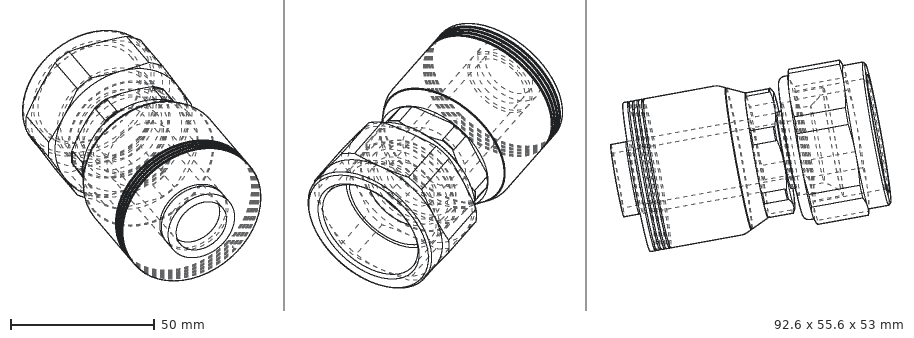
import cadquery as cq
import math


NUT_RADIUS = 25.5
NUT_ACROSS_FLATS = 2 * NUT_RADIUS
NUT_CORNER_RADIUS = 27.8
NUT_LENGTH = 31.0
NUT_FRONT_CHAMFER = 0.8
NUT_REAR_FILLET = 2.3
NUT_HEX_START = 7.9
NUT_HEX_END = 27.3
NUT_HEX_CHAMFER = 0.65
NUT_BORE_RADIUS = 19.6
NUT_BORE_DEPTH = 25.9
NUT_MOUTH_RADIUS = 20.8
NUT_MOUTH_DEPTH = 1.1

NOSE_START = 15.9
NOSE_RADIUS = 19.2
COLLAR_RADIUS = 16.4
COLLAR_END = 31.6
COLLAR_FILLET = 0.5
NECK_RADIUS = 13.6
NECK_FILLET = 0.9
HEX_START = 33.3
HEX_ACROSS_FLATS = 41.0
HEX_CORNER_RADIUS = 22.3
HEX_FRONT_RADIUS = 20.6
HEX_CREST_X = 34.3
HEX_CREST_RADIUS = 22.5
HEX_CORNER_START = 34.7
HEX_REAR_CHAMFER = 0.5
TAIL_RADIUS = 12.9
TAIL_END = 87.1

SEAT_RADIUS = 17.9
SEAT_END_RADIUS = 15.0
SEAT_LENGTH = 3.4
THROAT_TAPER_LENGTH = 2.1
THROAT_RADIUS = 13.6
THROAT_LENGTH = 3.7
FUNNEL_LENGTH = 2.5
BORE_RADIUS = 9.7

RING_END = 92.6

SHELL_START = 43.1
SHELL_END = 85.8
SHELL_RADIUS = 26.5
SHELL_FRONT_RADIUS = 22.2
SHELL_CONE_LENGTH = 9.2
SHELL_SHOULDER_FILLET = 4.6
SHELL_REAR_FILLET = 0.6
CONE_GROOVE_START = 49.3
CONE_GROOVE_WIDTH = 0.3
CONE_GROOVE_DEPTH = 0.2
GROOVE_COUNT = 4
FIRST_GROOVE_CENTER = 78.7
GROOVE_PITCH = 1.7
GROOVE_WIDTH = 0.6
GROOVE_DEPTH = 0.3


def spin(profile):
    """Turn a closed (x, radius) profile about the X axis."""
    return profile.close().revolve(360, (0, 0, 0), (1, 0, 0))


def turned(points):
    """Solid of revolution from straight (x, radius) segments."""
    return spin(cq.Workplane("XY").polyline(points))


def tube(start, end, outer, inner):
    return turned([(start, inner), (end, inner), (end, outer), (start, outer)])


def hexagon(start, end, across_flats):
    """Hexagonal bar along X with flats facing +Z and -Z."""
    corner_diameter = across_flats / math.cos(math.pi / 6)
    return cq.Workplane("YZ", origin=(start, 0, 0)).polygon(6, corner_diameter).extrude(end - start)


def nut_hexagon():
    """Hexagon with rounded corners, chamfered at both ends down to the barrel."""
    rounding = turned([
        (NUT_HEX_START, 0),
        (NUT_HEX_START, NUT_RADIUS),
        (NUT_HEX_START + NUT_HEX_CHAMFER, NUT_CORNER_RADIUS),
        (NUT_HEX_END - NUT_HEX_CHAMFER, NUT_CORNER_RADIUS),
        (NUT_HEX_END, NUT_RADIUS),
        (NUT_HEX_END, 0),
    ])
    return hexagon(NUT_HEX_START, NUT_HEX_END, NUT_ACROSS_FLATS).intersect(rounding)


def make_nut():
    barrel = turned([(0, 0), (NUT_LENGTH, 0), (NUT_LENGTH, NUT_RADIUS), (0, NUT_RADIUS)])
    barrel = barrel.faces("<X").chamfer(NUT_FRONT_CHAMFER)
    barrel = barrel.faces(">X").edges().fillet(NUT_REAR_FILLET)
    cavity = turned([
        (0, 0),
        (0, NUT_MOUTH_RADIUS),
        (NUT_MOUTH_DEPTH, NUT_BORE_RADIUS),
        (NUT_BORE_DEPTH, NUT_BORE_RADIUS),
        (NUT_BORE_DEPTH, COLLAR_RADIUS),
        (NUT_LENGTH, COLLAR_RADIUS),
        (NUT_LENGTH, 0),
    ])
    return barrel.union(nut_hexagon()).cut(cavity)


def nipple_outside():
    """Nose that bears on the nut's inner shoulder, then collar, filleted neck and tail."""
    return spin(
        cq.Workplane("XY")
        .moveTo(NOSE_START, 0)
        .lineTo(NOSE_START, NOSE_RADIUS)
        .lineTo(NUT_BORE_DEPTH, NOSE_RADIUS)
        .lineTo(NUT_BORE_DEPTH, COLLAR_RADIUS)
        .lineTo(COLLAR_END - COLLAR_FILLET, COLLAR_RADIUS)
        .radiusArc((COLLAR_END, COLLAR_RADIUS - COLLAR_FILLET), COLLAR_FILLET)
        .lineTo(COLLAR_END, NECK_RADIUS + NECK_FILLET)
        .radiusArc((COLLAR_END + NECK_FILLET, NECK_RADIUS), -NECK_FILLET)
        .lineTo(HEX_START, NECK_RADIUS)
        .lineTo(HEX_START, TAIL_RADIUS)
        .lineTo(TAIL_END, TAIL_RADIUS)
        .lineTo(TAIL_END, 0)
    )


def nipple_hexagon():
    """Hexagon in front of the shell, with a coned front and a low crest at its corners."""
    rounding = turned([
        (HEX_START, 0),
        (HEX_START, HEX_FRONT_RADIUS),
        (HEX_CREST_X, HEX_CREST_RADIUS),
        (HEX_CORNER_START, HEX_CORNER_RADIUS),
        (SHELL_START - HEX_REAR_CHAMFER, HEX_CORNER_RADIUS),
        (SHELL_START, HEX_CORNER_RADIUS - HEX_REAR_CHAMFER),
        (SHELL_START, 0),
    ])
    return hexagon(HEX_START, SHELL_START, HEX_ACROSS_FLATS).intersect(rounding)


def nipple_passage():
    """Conical seat, taper, straight throat, and a funnel into the through bore."""
    seat_end = NOSE_START + SEAT_LENGTH
    throat_start = seat_end + THROAT_TAPER_LENGTH
    throat_end = throat_start + THROAT_LENGTH
    bore_start = throat_end + FUNNEL_LENGTH
    return turned([
        (NOSE_START, 0),
        (NOSE_START, SEAT_RADIUS),
        (seat_end, SEAT_END_RADIUS),
        (throat_start, THROAT_RADIUS),
        (throat_end, THROAT_RADIUS),
        (bore_start, BORE_RADIUS),
        (TAIL_END, BORE_RADIUS),
        (TAIL_END, 0),
    ])


def make_nipple():
    return nipple_outside().union(nipple_hexagon()).cut(nipple_passage())


def make_end_ring():
    return tube(TAIL_END, RING_END, TAIL_RADIUS, BORE_RADIUS)


def shell_blank():
    """Sleeve on the tail: front cone, tangent shoulder arc, cylinder and rounded rear edge."""
    cone_end = SHELL_START + SHELL_CONE_LENGTH
    cone_angle = math.atan2(SHELL_RADIUS - SHELL_FRONT_RADIUS, SHELL_CONE_LENGTH)
    tangent_length = SHELL_SHOULDER_FILLET * math.tan(cone_angle / 2)
    shoulder_start = (
        cone_end - tangent_length * math.cos(cone_angle),
        SHELL_RADIUS - tangent_length * math.sin(cone_angle),
    )
    return spin(
        cq.Workplane("XY")
        .moveTo(SHELL_START, TAIL_RADIUS)
        .lineTo(SHELL_START, SHELL_FRONT_RADIUS)
        .lineTo(*shoulder_start)
        .radiusArc((cone_end + tangent_length, SHELL_RADIUS), SHELL_SHOULDER_FILLET)
        .lineTo(SHELL_END - SHELL_REAR_FILLET, SHELL_RADIUS)
        .radiusArc((SHELL_END, SHELL_RADIUS - SHELL_REAR_FILLET), SHELL_REAR_FILLET)
        .lineTo(SHELL_END, TAIL_RADIUS)
    )


def cone_groove():
    """Cutter for the fine groove around the front cone."""
    slope = (SHELL_RADIUS - SHELL_FRONT_RADIUS) / SHELL_CONE_LENGTH
    cone_radius = SHELL_FRONT_RADIUS + slope * (CONE_GROOVE_START - SHELL_START)
    floor_radius = cone_radius - CONE_GROOVE_DEPTH
    return tube(CONE_GROOVE_START, CONE_GROOVE_START + CONE_GROOVE_WIDTH, SHELL_RADIUS, floor_radius)


def make_shell():
    shell = shell_blank().cut(cone_groove())
    for i in range(GROOVE_COUNT):
        start = FIRST_GROOVE_CENTER + i * GROOVE_PITCH - GROOVE_WIDTH / 2
        groove = tube(start, start + GROOVE_WIDTH, SHELL_RADIUS, SHELL_RADIUS - GROOVE_DEPTH)
        shell = shell.cut(groove)
    return shell


nut = make_nut()
nipple = make_nipple()
shell = make_shell()
end_ring = make_end_ring()
bodies = [nut, nipple, shell, end_ring]
result = cq.Compound.makeCompound([body.solids().val() for body in bodies])